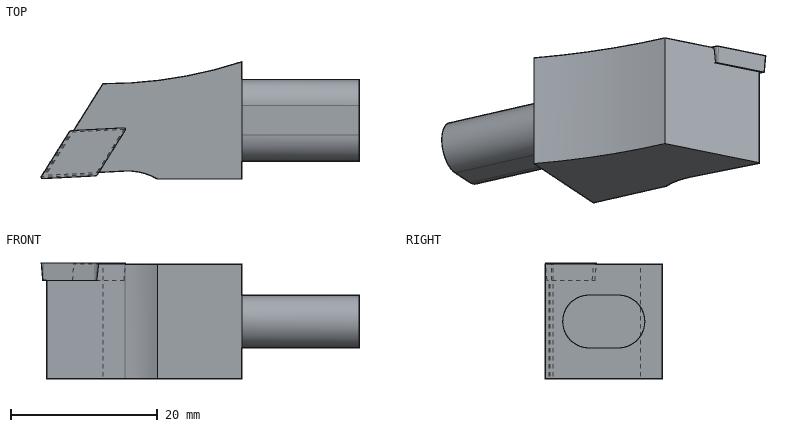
import cadquery as cq
import math

TOTAL_LENGTH = 43.3
SHANK_LENGTH = 16.0
BLOCK_END_X = TOTAL_LENGTH - SHANK_LENGTH
BLOCK_WIDTH = 16.0
BLOCK_HEIGHT = 15.65
BACK_CORNER = (8.4, 13.0)
BACK_RADIUS = 60.0
NOSE_BOTTOM_Y = 0.7
NOSE_FLAT = (0.82, 0.5)
RELIEF_START_X = 11.45
RELIEF_END_X = 15.8
RELIEF_RADIUS = 8.0

SHANK_HEIGHT = 7.2
SHANK_WIDTH = 11.17

INSERT_TOP_Z = 15.8
INSERT_THICKNESS = 2.4
INSERT_EDGE = 7.75
INSERT_ANGLE = 55.0
CLEARANCE_ANGLE = 5.0
TIP_RADIUS = 0.2
BLUNT_CORNER_RADIUS = 0.4
TIP_Y = 0.05
FRONT_EDGE_ANGLE = 3.0
SIDE_EDGE_ANGLE = FRONT_EDGE_ANGLE + INSERT_ANGLE


def step(start, length, degrees):
    """Point reached from start by going a length in a direction."""
    angle = math.radians(degrees)
    return (start[0] + length * math.cos(angle), start[1] + length * math.sin(angle))


def make_block():
    nose_rise = BACK_CORNER[1] - NOSE_BOTTOM_Y
    nose_x = BACK_CORNER[0] - nose_rise / math.tan(math.radians(SIDE_EDGE_ANGLE))
    relief_run = RELIEF_START_X - NOSE_FLAT[0]
    relief_y = NOSE_FLAT[1] + relief_run * math.tan(math.radians(FRONT_EDGE_ANGLE))
    return (
        cq.Workplane("XY")
        .moveTo(nose_x, NOSE_BOTTOM_Y)
        .lineTo(*NOSE_FLAT)
        .lineTo(RELIEF_START_X, relief_y)
        .radiusArc((RELIEF_END_X, 0), RELIEF_RADIUS)
        .lineTo(BLOCK_END_X, 0)
        .lineTo(BLOCK_END_X, BLOCK_WIDTH)
        .radiusArc(BACK_CORNER, BACK_RADIUS)
        .close()
        .extrude(BLOCK_HEIGHT)
    )


def make_shank():
    return (
        cq.Workplane("YZ", origin=(BLOCK_END_X, BLOCK_WIDTH / 2, BLOCK_HEIGHT / 2))
        .slot2D(SHANK_WIDTH, SHANK_HEIGHT)
        .extrude(SHANK_LENGTH)
    )


def make_insert():
    tip_center = (TIP_RADIUS, TIP_Y + TIP_RADIUS)
    sharp_offset = TIP_RADIUS / math.sin(math.radians(INSERT_ANGLE / 2))
    bisector = (FRONT_EDGE_ANGLE + SIDE_EDGE_ANGLE) / 2
    tip = step(tip_center, -sharp_offset, bisector)
    front_corner = step(tip, INSERT_EDGE, FRONT_EDGE_ANGLE)
    side_corner = step(tip, INSERT_EDGE, SIDE_EDGE_ANGLE)
    inner_corner = step(front_corner, INSERT_EDGE, SIDE_EDGE_ANGLE)
    outline = (
        cq.Sketch()
        .polygon([tip, front_corner, inner_corner, side_corner, tip])
        .vertices("not(<X or >X)")
        .fillet(BLUNT_CORNER_RADIUS)
        .reset()
        .vertices("<X or >X")
        .fillet(TIP_RADIUS)
    )
    return (
        cq.Workplane("XY", origin=(0, 0, INSERT_TOP_Z))
        .placeSketch(outline)
        .extrude(-INSERT_THICKNESS, taper=CLEARANCE_ANGLE)
    )


insert = make_insert()

holder = make_block().union(make_shank()).cut(insert)

result = cq.Compound.makeCompound([holder.val(), insert.val()])